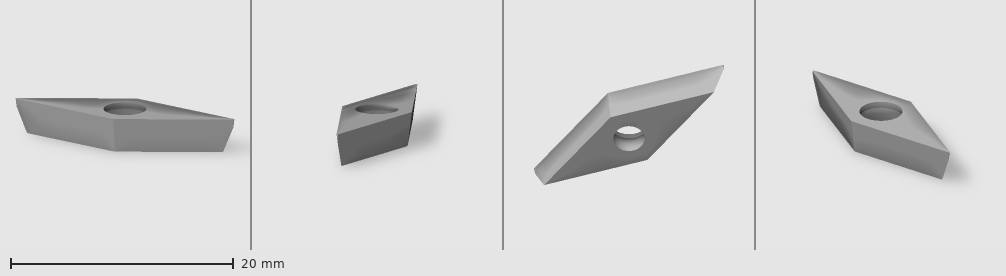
import cadquery as cq
import math

length = 19.71
width = 6.35
thickness = 3.17
nose_angle = 35.0
clearance_angle = 7.0

hole_diameter = 2.8
seat_diameter = 3.86
seat_rim_depth = 0.6
seat_throat_diameter = 3.63
seat_throat_depth = 0.8
seat_depth = 2.15

half_angle = math.radians(nose_angle / 2)
clearance = math.tan(math.radians(clearance_angle))
slant_run = width / math.tan(2 * half_angle)
edge_length = width / math.sin(2 * half_angle)
sharp_x = (edge_length + slant_run) / 2
blunt_x = (edge_length - slant_run) / 2

nose_radius = (sharp_x - length / 2) / (1 / math.tan(half_angle) - 1)
nose_depth = nose_radius / clearance


def make_body():
    """Sharp-cornered rhombus, tapering downwards."""
    corners = [
        (-sharp_x, -width / 2),
        (blunt_x, -width / 2),
        (sharp_x, width / 2),
        (-blunt_x, width / 2),
    ]
    return (
        cq.Workplane("XY")
        .workplane(offset=thickness)
        .polyline(corners)
        .close()
        .extrude(-thickness, taper=clearance_angle)
    )


def make_nose_trim():
    """Waste outside the conical nose at the -X corner; the cone ends in a point."""
    tangent_length = nose_radius / math.tan(half_angle)
    corner_y = -width / 2
    center = (-sharp_x + tangent_length, corner_y + nose_radius)
    slant_tangent = (
        -sharp_x + tangent_length * math.cos(2 * half_angle),
        corner_y + tangent_length * math.sin(2 * half_angle),
    )
    kite = [(-sharp_x, corner_y), (center[0], corner_y), center, slant_tangent]
    apex_z = thickness - nose_depth
    block = cq.Workplane("XY").workplane(offset=apex_z).polyline(kite).close().extrude(nose_depth)
    cone = cq.Solid.makeCone(0, nose_radius, nose_depth, pnt=cq.Vector(*center, apex_z))
    return block.cut(cq.Workplane(obj=cone))


def make_hole():
    """Through hole with a straight rim, a short cone and a curved screw seat tangent to the bore."""
    hole_radius = hole_diameter / 2
    throat_radius = seat_throat_diameter / 2
    rim_z = thickness - seat_rim_depth
    throat_z = thickness - seat_throat_depth
    seat_z = thickness - seat_depth
    return (
        cq.Workplane("XZ")
        .lineTo(hole_radius, 0)
        .lineTo(hole_radius, seat_z)
        .tangentArcPoint((throat_radius, throat_z), relative=False)
        .lineTo(seat_diameter / 2, rim_z)
        .lineTo(seat_diameter / 2, thickness)
        .lineTo(0, thickness)
        .close()
        .revolve(360, (0, 0, 0), (0, 1, 0))
    )


nose_trim = make_nose_trim()
result = make_body().cut(make_hole())
for turn in (0, 180):
    result = result.cut(nose_trim.rotate((0, 0, 0), (0, 0, 1), turn))